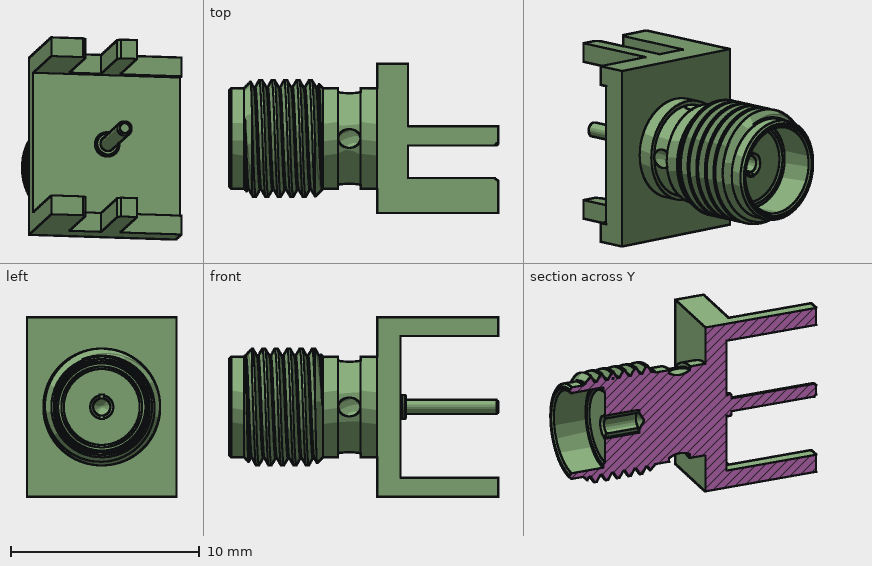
import cadquery as cq
import math


total_length = 14.28
flange_width = 7.93
flange_height = 9.52

barrel_radius = 2.67
mouth_chamfer = 0.13
groove_start = 5.78
groove_end = 6.97
groove_radius = 2.45
flange_front = 7.85

thread_start = 0.8
thread_end = 4.98
crest_radius = 3.1
root_radius = 2.73
five_pitches = 3.3
thread_pitch = five_pitches / 5
crest_flat = 0.14
flank_angle = 30.0
top_crest_position = 1.84

dimple_radius = 0.59
dimple_depth = 0.17
dimple_count = 4

bore_radius = 2.31
bore_mouth_radius = 2.43
bore_depth = 1.94
floor_bevel_radius = 2.14
floor_radius = 2.01
floor_bevel_depth = 0.1
contact_bevel_radius = 0.61
contact_bore_radius = 0.45
contact_bore_depth = 2.0
drill_tip_angle = 118.0
contact_slot_width = 0.24
contact_slot_span = 1.3
contact_slot_depth = 2.0

flange_thickness = 1.64
recess_floor = 9.1
leg_thickness = 1.01
narrow_leg_top = 0.65
narrow_leg_bottom = -0.37
wide_leg_top = -2.08
leg_chamfer_length = 0.21
leg_chamfer_width = 0.17
pin_radius = 0.39
pin_tip_chamfer = 0.11
collar_radius = 0.64
collar_length = 0.29
collar_chamfer = 0.07

flange_back = flange_front + flange_thickness


def turned(points):
    """Revolve an outline of (X, radius) points about the X axis."""
    return cq.Workplane("XY").polyline(points).close().revolve(360, (0, 0, 0), (1, 0, 0))


def make_barrel():
    return turned([
        (0, 0),
        (0, barrel_radius - mouth_chamfer),
        (mouth_chamfer, barrel_radius),
        (groove_start, barrel_radius),
        (groove_start, groove_radius),
        (groove_end, groove_radius),
        (groove_end, barrel_radius),
        (flange_front, barrel_radius),
        (flange_front, 0),
    ])


def make_thread():
    """Sleeve with 45 degree ends and a right-hand V groove."""
    end_bevel = crest_radius - barrel_radius
    sleeve = turned([
        (thread_start, bore_radius),
        (thread_start, barrel_radius),
        (thread_start + end_bevel, crest_radius),
        (thread_end - end_bevel, crest_radius),
        (thread_end, barrel_radius),
        (thread_end, bore_radius),
    ])

    flank_slope = math.tan(math.radians(flank_angle))
    crest_clearance = 0.04
    cutter_radius = crest_radius + crest_clearance
    root_half = (thread_pitch - crest_flat) / 2 - (crest_radius - root_radius) * flank_slope
    top_half = root_half + (cutter_radius - root_radius) * flank_slope
    turns_before_crest = 3
    cutter_turns = 9
    helix = cq.Wire.makeHelix(thread_pitch, cutter_turns * thread_pitch, root_radius)
    cutter = (
        cq.Workplane("XZ")
        .polyline([
            (root_radius, -root_half),
            (cutter_radius, -top_half),
            (cutter_radius, top_half),
            (root_radius, root_half),
        ])
        .close()
        .sweep(cq.Workplane(helix), isFrenet=True)
        .rotate((0, 0, 0), (0, 1, 0), 90)
        .translate((top_crest_position - turns_before_crest * thread_pitch, 0, 0))
    )

    blank_overhang = 2.14
    blank = turned([
        (-blank_overhang, bore_radius),
        (-blank_overhang, crest_radius),
        (flange_front, crest_radius),
        (flange_front, bore_radius),
    ])
    return blank.cut(cutter).intersect(sleeve)


def make_dimples():
    """Shallow spherical hollows spaced evenly around the groove floor."""
    sphere_radius = (dimple_radius**2 + dimple_depth**2) / (2 * dimple_depth)
    sphere_height = groove_radius - dimple_depth + sphere_radius
    groove_middle = (groove_start + groove_end) / 2
    sphere = cq.Workplane("XY").sphere(sphere_radius).translate((groove_middle, 0, sphere_height))
    groove_slab = cq.Workplane("XY").box(
        groove_end - groove_start, 2 * sphere_radius, 2 * (sphere_height + sphere_radius)
    )
    dimple = sphere.intersect(groove_slab.translate((groove_middle, 0, 0)))
    dimples = dimple
    for index in range(1, dimple_count):
        dimples = dimples.union(dimple.rotate((0, 0, 0), (1, 0, 0), index * 360 / dimple_count))
    return dimples


def make_socket():
    """Bore with bevelled mouth and floor, and the split contact at its centre."""
    floor = bore_depth + floor_bevel_depth
    contact_bevel_end = floor + contact_bevel_radius - contact_bore_radius
    contact_end = floor + contact_bore_depth
    tip_length = contact_bore_radius / math.tan(math.radians(drill_tip_angle / 2))
    bore = turned([
        (0, 0),
        (0, bore_mouth_radius),
        (bore_mouth_radius - bore_radius, bore_radius),
        (bore_depth, bore_radius),
        (bore_depth, floor_bevel_radius),
        (floor, floor_radius),
        (floor, contact_bevel_radius),
        (contact_bevel_end, contact_bore_radius),
        (contact_end, contact_bore_radius),
        (contact_end + tip_length, 0),
    ])
    slot = cq.Workplane("XY").box(
        contact_slot_depth, contact_slot_width, contact_slot_span, centered=(False, True, True)
    )
    return bore.union(slot.translate((floor, 0, 0)))


def make_flange():
    """Flange plate with two pairs of legs and a shallow channel across its back."""
    side = flange_width / 2
    body = (
        cq.Workplane("XY")
        .polyline([
            (flange_front, -side),
            (total_length, -side),
            (total_length, wide_leg_top - leg_chamfer_width),
            (total_length - leg_chamfer_length, wide_leg_top),
            (flange_back, wide_leg_top),
            (flange_back, narrow_leg_bottom),
            (total_length - leg_chamfer_length, narrow_leg_bottom),
            (total_length, narrow_leg_bottom + leg_chamfer_width),
            (total_length, narrow_leg_top),
            (flange_back, narrow_leg_top),
            (flange_back, side),
            (flange_front, side),
        ])
        .close()
        .extrude(flange_height / 2, both=True)
    )
    channel = cq.Workplane("XY").box(
        total_length - recess_floor, flange_width, flange_height - 2 * leg_thickness,
        centered=(False, True, True),
    )
    return body.cut(channel.translate((recess_floor, 0, 0)))


def make_pin():
    collar_end = recess_floor + collar_length
    return turned([
        (flange_front, 0),
        (flange_front, collar_radius - collar_chamfer),
        (recess_floor, collar_radius - collar_chamfer),
        (recess_floor + collar_chamfer, collar_radius),
        (collar_end - collar_chamfer, collar_radius),
        (collar_end, collar_radius - collar_chamfer),
        (collar_end, pin_radius),
        (total_length - pin_tip_chamfer, pin_radius),
        (total_length, pin_radius - pin_tip_chamfer),
        (total_length, 0),
    ])


result = (
    make_barrel()
    .union(make_thread())
    .cut(make_dimples())
    .union(make_flange())
    .union(make_pin())
    .cut(make_socket())
)